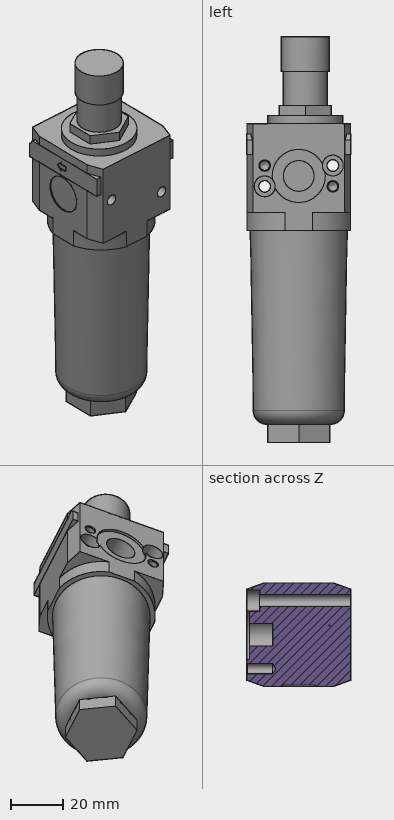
import cadquery as cq
import math

bowl_bottom_z = 7.0
body_bottom_z = 81.5
skirt_top_z = 88.5
body_top_z = 122.6
collar_top_z = 125.8
locknut_top_z = 129.6
knob_bottom_z = 142.7
total_height = 156.0

body_width = 40.0
plate_projection = 0.1
body_depth = body_width - 2 * plate_projection
front_face_half_width = 13.4
side_face_half_depth = 17.5
skirt_tab_width = 10.7
skirt_radius = math.hypot(body_width / 2, skirt_tab_width / 2)

knob_x = 1.5
knob_y = -2.5
knob_diameter = 18.6
stem_diameter = 17.1
locknut_flats = 20.0
collar_diameter = 29.0

bowl_top_diameter = 37.5
bowl_lower_diameter = 35.1
bowl_round = 5.4
drain_nut_flats = 24.0

plate_left_x = -19.1
plate_right_x = 19.1
plate_bottom_z = 110.7
plate_top_z = 118.7
plate_inner_y = 17.8
plate_corner_x = 1.8
plate_corner_z = 2.3

arrow_tip_x = -3.2
arrow_neck_x = -1.1
arrow_tail_x = 1.35
arrow_head_half_height = 2.0
arrow_tail_half_height = 1.05
arrow_depth = 0.3

port_z = 102.5
port_diameter = 11.8
port_depth = 10.0
port_seat_diameter = 20.4
port_seat_depth = 1.0
gauge_seat_diameter = 15.0
gauge_seat_depth = 0.5
bolt_offset_y = 13.1
bolt_offset_z = 4.0
bolt_hole_diameter = 4.4
counterbore_diameter = 8.0
counterbore_depth = 5.0
thread_diameter = 3.7
thread_countersink_diameter = 4.4
thread_depth = 10.0
drill_point_angle = 118.0


def hexagon_prism(flats, bottom_z, top_z, x=0.0, y=0.0):
    """Hexagonal prism with two corners on the X direction."""
    corners = flats / math.cos(math.pi / 6)
    return (
        cq.Workplane("XY", origin=(x, y, bottom_z))
        .polygon(6, corners)
        .extrude(top_z - bottom_z)
    )


def cylinder(diameter, bottom_z, top_z, x=0.0, y=0.0):
    """Upright cylinder between two heights."""
    return (
        cq.Workplane("XY", origin=(x, y, bottom_z))
        .circle(diameter / 2)
        .extrude(top_z - bottom_z)
    )


def left_face_hole(y, z, diameter, depth):
    """Cutting cylinder running inwards from the -X face."""
    return (
        cq.Workplane("YZ", origin=(-body_width / 2, y, z))
        .circle(diameter / 2)
        .extrude(depth)
    )


def make_body():
    """Block with slanted corners; below skirt_top_z it is trimmed to a round skirt."""
    half_width = body_width / 2
    half_depth = body_depth / 2
    outline = [
        (half_width, side_face_half_depth),
        (front_face_half_width, half_depth),
        (-front_face_half_width, half_depth),
        (-half_width, side_face_half_depth),
        (-half_width, -side_face_half_depth),
        (-front_face_half_width, -half_depth),
        (front_face_half_width, -half_depth),
        (half_width, -side_face_half_depth),
    ]
    block = (
        cq.Workplane("XY", origin=(0, 0, skirt_top_z))
        .polyline(outline)
        .close()
        .extrude(body_top_z - skirt_top_z)
    )
    skirt = (
        cq.Workplane("XY", origin=(0, 0, body_bottom_z))
        .rect(body_width, body_depth)
        .extrude(skirt_top_z - body_bottom_z)
        .intersect(cylinder(2 * skirt_radius, body_bottom_z, skirt_top_z))
    )
    return block.union(skirt)


def make_bowl():
    """Tapered bowl with a rounded lower edge."""
    top_radius = bowl_top_diameter / 2
    lower_radius = bowl_lower_diameter / 2
    round_top_z = bowl_bottom_z + bowl_round
    floor_radius = lower_radius - bowl_round
    round_mid = bowl_round * math.sqrt(0.5)
    return (
        cq.Workplane("XZ")
        .moveTo(0, bowl_bottom_z)
        .lineTo(floor_radius, bowl_bottom_z)
        .threePointArc(
            (floor_radius + round_mid, round_top_z - round_mid),
            (lower_radius, round_top_z),
        )
        .lineTo(top_radius, body_bottom_z)
        .lineTo(0, body_bottom_z)
        .close()
        .revolve(360, (0, 0, 0), (0, 1, 0))
    )


def make_adjuster():
    """Collar, locknut, stem and knob stacked on one offset axis."""
    collar = cylinder(collar_diameter, body_top_z, collar_top_z, knob_x, knob_y)
    locknut = hexagon_prism(locknut_flats, collar_top_z, locknut_top_z, knob_x, knob_y)
    stem = cylinder(stem_diameter, locknut_top_z, knob_bottom_z, knob_x, knob_y)
    knob = cylinder(knob_diameter, knob_bottom_z, total_height, knob_x, knob_y)
    return collar.union(locknut).union(stem).union(knob)


def make_front_plate():
    """Label plate on the -Y face with one clipped upper corner."""
    outline = [
        (plate_left_x, plate_bottom_z),
        (plate_right_x, plate_bottom_z),
        (plate_right_x, plate_top_z),
        (plate_left_x + plate_corner_x, plate_top_z),
        (plate_left_x, plate_top_z - plate_corner_z),
    ]
    return (
        cq.Workplane("XZ", origin=(0, -plate_inner_y, 0))
        .polyline(outline)
        .close()
        .extrude(body_width / 2 - plate_inner_y)
    )


def make_arrow_cut():
    """Arrow pointing to -X, engraved in the front plate."""
    middle_z = (plate_bottom_z + plate_top_z) / 2
    outline = [
        (arrow_tip_x, middle_z),
        (arrow_neck_x, middle_z + arrow_head_half_height),
        (arrow_neck_x, middle_z + arrow_tail_half_height),
        (arrow_tail_x, middle_z + arrow_tail_half_height),
        (arrow_tail_x, middle_z - arrow_tail_half_height),
        (arrow_neck_x, middle_z - arrow_tail_half_height),
        (arrow_neck_x, middle_z - arrow_head_half_height),
    ]
    return (
        cq.Workplane("XZ", origin=(0, -body_width / 2, 0))
        .polyline(outline)
        .close()
        .extrude(-arrow_depth)
    )


def make_gauge_seat_cut():
    """Shallow round recess in the front face."""
    return (
        cq.Workplane("XZ", origin=(0, -body_depth / 2, port_z))
        .circle(gauge_seat_diameter / 2)
        .extrude(-gauge_seat_depth)
    )


def make_port_cut():
    """Blind port with a shallow sealing seat around it."""
    port = left_face_hole(0, port_z, port_diameter, port_depth)
    seat = left_face_hole(0, port_z, port_seat_diameter, port_seat_depth)
    return port.union(seat)


def make_bolt_cut(y, z):
    """Counterbored hole through the whole width of the body."""
    through = left_face_hole(y, z, bolt_hole_diameter, body_width)
    counterbore = left_face_hole(y, z, counterbore_diameter, counterbore_depth)
    return through.union(counterbore)


def make_thread_cut(y, z):
    """Blind hole with a 45 degree countersink, ending in a drill point."""
    radius = thread_diameter / 2
    countersink_radius = thread_countersink_diameter / 2
    point_length = radius / math.tan(math.radians(drill_point_angle / 2))
    return (
        cq.Workplane("XY", origin=(-body_width / 2, y, z))
        .lineTo(0, countersink_radius)
        .lineTo(countersink_radius - radius, radius)
        .lineTo(thread_depth, radius)
        .lineTo(thread_depth + point_length, 0)
        .close()
        .revolve(360, (0, 0, 0), (1, 0, 0))
    )


front_plate = make_front_plate()
back_plate = front_plate.mirror("XZ")
drain_nut = hexagon_prism(drain_nut_flats, 0, bowl_bottom_z)

result = make_body()
for piece in (make_bowl(), drain_nut, make_adjuster(), front_plate, back_plate):
    result = result.union(piece)

for cut in (make_arrow_cut(), make_gauge_seat_cut(), make_port_cut()):
    result = result.cut(cut)

for side in (-1, 1):
    hole_y = side * bolt_offset_y
    result = result.cut(make_bolt_cut(hole_y, port_z - side * bolt_offset_z))
    result = result.cut(make_thread_cut(hole_y, port_z + side * bolt_offset_z))